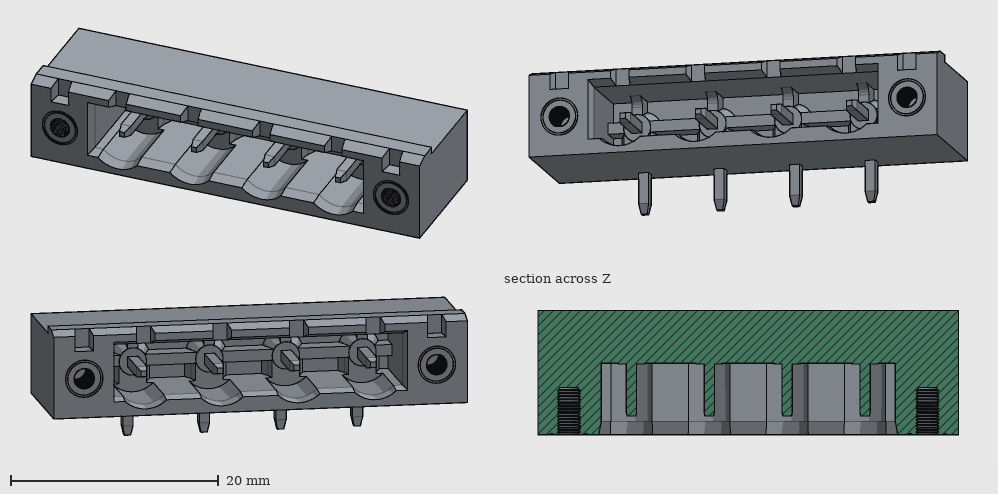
import cadquery as cq

length = 40.5
depth = 12.0
back_height = 7.8
lip_height = 8.5
lip_depth = 3.05
bevel_depth = 1.3
bevel_drop = 0.45

pin_count = 4
pitch = 7.5
pin_size = 1.0
pin_axis_z = 3.85
pin_leg_y = 9.9
pin_leg_length = 4.0
pin_front_y = 1.17
leg_tip_length = 0.97
leg_tip_size = 0.6
front_tip_length = 0.97
front_tip_size = 0.53
pin_positions = [(i - (pin_count - 1) / 2) * pitch for i in range(pin_count)]

cavity_width = 28.25
cavity_floor = 1.7
cavity_roof = 6.85
cavity_depth = 8.9
mouth_width = 28.75
mouth_floor = 1.45
mouth_roof = 7.35
scallop_axis_z = 3.6
scallop_radius = 2.75
scallop_mouth_radius = 2.95

support_height = 2.02
support_front_y = cavity_depth - support_height
boss_base_radius = 2.02
boss_top_radius = 1.35
boss_step = 0.1
foot_knee_half_width = 1.58
foot_knee_height = 1.0
bar_bottom = 3.4
bar_top = 4.5
rib_fillet = 0.95
overlap = 0.2

notch_front_width = 1.82
notch_back_width = 1.38
end_notch_front_z = 6.55
end_notch_back_z = 6.7

insert_x = 17.25
insert_groove_outer = 1.82
insert_groove_inner = 1.6
insert_groove_depth = 0.12
thread_minor_radius = 0.992
thread_major_radius = 1.17
thread_pitch = 0.3
thread_turns = 15
thread_groove_width = 0.25


def box(x_range, y_range, z_range):
    """Box given by its lower and upper limit along each axis."""
    lower = cq.Vector(x_range[0], y_range[0], z_range[0])
    upper = cq.Vector(x_range[1], y_range[1], z_range[1])
    size = upper - lower
    return cq.Workplane("XY").box(size.x, size.y, size.z, centered=False).translate(lower)


def facing_back(y, x=0.0, z=0.0):
    """Sketch plane at depth y with local x along X, local y along -Z and its normal along +Y."""
    return cq.Workplane(cq.Plane(origin=(x, y, z), xDir=(1, 0, 0), normal=(0, 1, 0)))


def cone(x, z, front_y, front_radius, height, back_radius):
    """Truncated cone along Y."""
    sketch = facing_back(front_y, x, z).circle(front_radius)
    return sketch.workplane(offset=height).circle(back_radius).loft(combine=True)


def make_housing():
    profile = [
        (0, 0),
        (depth, 0),
        (depth, back_height),
        (lip_depth, back_height),
        (lip_depth, lip_height),
        (bevel_depth, lip_height),
        (0, lip_height - bevel_drop),
    ]
    return cq.Workplane("YZ").polyline(profile).close().extrude(length / 2, both=True)


def make_cavity():
    inner_z = (cavity_floor + cavity_roof) / 2
    mouth_z = (mouth_floor + mouth_roof) / 2
    inner_height = cavity_roof - cavity_floor
    cavity = box((-cavity_width / 2, cavity_width / 2), (0, cavity_depth), (cavity_floor, cavity_roof))
    mouth = (
        facing_back(0, z=mouth_z)
        .rect(mouth_width, mouth_roof - mouth_floor)
        .workplane(offset=bevel_depth)
        .center(0, mouth_z - inner_z)
        .rect(cavity_width, inner_height)
        .loft(combine=True)
    )
    cavity = cavity.union(mouth)
    for x in pin_positions:
        trough = facing_back(0, x, scallop_axis_z).circle(scallop_radius).extrude(support_front_y)
        flare = cone(x, scallop_axis_z, 0, scallop_mouth_radius, bevel_depth, scallop_radius)
        cavity = cavity.union(trough).union(flare)
    return cavity


def make_bar():
    half = cavity_width / 2 + overlap
    return box((-half, half), (support_front_y, cavity_depth + overlap), (bar_bottom, bar_top))


def make_support(x):
    """Conical boss around a pin, with a stepped-taper foot below it and a filleted rib above it."""
    boss = cone(x, pin_axis_z, support_front_y, boss_top_radius, support_height, boss_base_radius)
    collar = (
        facing_back(support_front_y - boss_step, x, pin_axis_z)
        .circle(boss_top_radius)
        .extrude(support_height + boss_step + overlap)
    )
    foot_bottom = cavity_floor - overlap
    foot_outline = [
        (x - boss_top_radius, support_front_y),
        (x + boss_top_radius, support_front_y),
        (x + foot_knee_half_width, cavity_depth - foot_knee_height),
        (x + boss_base_radius, cavity_depth),
        (x - boss_base_radius, cavity_depth),
        (x - foot_knee_half_width, cavity_depth - foot_knee_height),
    ]
    foot = (
        cq.Workplane("XY", origin=(0, 0, foot_bottom))
        .polyline(foot_outline)
        .close()
        .extrude(pin_axis_z - foot_bottom)
    )
    rib = (
        cq.Workplane("YZ", origin=(x, 0, 0))
        .moveTo(cavity_depth + overlap, pin_axis_z)
        .lineTo(support_front_y, pin_axis_z)
        .lineTo(support_front_y, cavity_roof - rib_fillet)
        .radiusArc((support_front_y - rib_fillet, cavity_roof), -rib_fillet)
        .lineTo(support_front_y - rib_fillet, cavity_roof + overlap)
        .lineTo(cavity_depth + overlap, cavity_roof + overlap)
        .close()
        .extrude(pin_size / 2, both=True)
    )
    return boss.union(collar).union(foot).union(rib)


def make_pin(x):
    """Square pin bent at a right angle, with both ends tapered."""
    half = pin_size / 2
    shaft_start = pin_front_y + front_tip_length
    leg_end = leg_tip_length - pin_leg_length
    x_range = (x - half, x + half)
    z_top = pin_axis_z + half
    shaft = box(x_range, (shaft_start, pin_leg_y + half), (pin_axis_z - half, z_top))
    leg = box(x_range, (pin_leg_y - half, pin_leg_y + half), (leg_end, z_top))
    front_tip = (
        facing_back(pin_front_y, x, pin_axis_z)
        .rect(front_tip_size, front_tip_size)
        .workplane(offset=front_tip_length)
        .rect(pin_size, pin_size)
        .loft(combine=True)
    )
    leg_tip = (
        cq.Workplane("XY", origin=(x, pin_leg_y, -pin_leg_length))
        .rect(leg_tip_size, leg_tip_size)
        .workplane(offset=leg_tip_length)
        .rect(pin_size, pin_size)
        .loft(combine=True)
    )
    return shaft.union(leg).union(front_tip).union(leg_tip)


def make_notch(x, front_z, back_z):
    """Notch from the front face to the back of the lip bevel, narrowing towards the back."""
    outline = [
        (x - notch_front_width / 2, 0),
        (x + notch_front_width / 2, 0),
        (x + notch_back_width / 2, bevel_depth),
        (x - notch_back_width / 2, bevel_depth),
    ]
    side = [(0, front_z), (bevel_depth, back_z), (bevel_depth, lip_height), (0, lip_height)]
    plan_prism = cq.Workplane("XY").polyline(outline).close().extrude(lip_height)
    side_prism = (
        cq.Workplane("YZ", origin=(x, 0, 0)).polyline(side).close().extrude(notch_front_width, both=True)
    )
    return plan_prism.intersect(side_prism)


def make_insert_cut(x):
    """Blind bore with ring-shaped thread grooves, and a shallow groove around the insert."""
    bore_depth = (thread_turns + 1) * thread_pitch
    profile = [(0, 0), (thread_minor_radius, 0)]
    for turn in range(thread_turns):
        groove_middle = (turn + 1) * thread_pitch
        profile.append((thread_minor_radius, groove_middle - thread_groove_width / 2))
        profile.append((thread_major_radius, groove_middle))
        profile.append((thread_minor_radius, groove_middle + thread_groove_width / 2))
    profile += [(thread_minor_radius, bore_depth), (0, bore_depth)]
    bore = cq.Workplane("XY").polyline(profile).close().revolve(360, (0, 0), (0, 1))
    bore = bore.translate((x, 0, pin_axis_z))
    groove = (
        facing_back(0, x, pin_axis_z)
        .circle(insert_groove_outer)
        .circle(insert_groove_inner)
        .extrude(insert_groove_depth)
    )
    return bore.union(groove)


result = make_housing().cut(make_cavity()).union(make_bar())

for pin_x in pin_positions:
    result = result.union(make_support(pin_x))
    result = result.cut(make_notch(pin_x, cavity_roof, cavity_roof))
    result = result.union(make_pin(pin_x))

for end_x in (-insert_x, insert_x):
    result = result.cut(make_notch(end_x, end_notch_front_z, end_notch_back_z))
    result = result.cut(make_insert_cut(end_x))